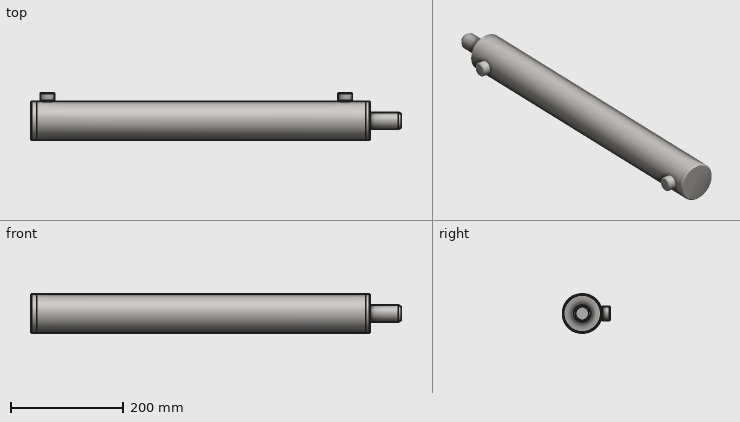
import cadquery as cq

TOTAL_LENGTH = 660.0
BODY_DIAMETER = 70.0
BODY_LENGTH = 604.5
BODY_RADIUS = BODY_DIAMETER / 2

CAP_LENGTH = 10.5
CAP_CHAMFER = 2.3
GLAND_LENGTH = 8.0
GLAND_CHAMFER = 2.0
GLAND_START = BODY_LENGTH - GLAND_LENGTH

ROD_DIAMETER = 30.5
ROD_CHAMFER_LENGTH = 5.0
ROD_CHAMFER_DEPTH = 3.0

PORT_DIAMETER = 26.0
PORT_TOP = 50.0
PORT_CHAMFER_START = 33.5
PORT_BOTTOM_CHAMFER = 2.5
PORT_TOP_CHAMFER = 2.0
PORT_CENTERS = [30.0, 560.0]


def cylinder_x(start, length, diameter):
    """Solid cylinder along X."""
    return cq.Workplane("YZ", origin=(start, 0, 0)).circle(diameter / 2).extrude(length)


def make_cap():
    """Closed end disc with a chamfered outer rim."""
    return cylinder_x(0, CAP_LENGTH, BODY_DIAMETER).faces("<X").chamfer(CAP_CHAMFER)


def make_barrel():
    """Long barrel between the cap and the gland."""
    return cylinder_x(CAP_LENGTH, GLAND_START - CAP_LENGTH, BODY_DIAMETER)


def make_rod():
    """Rod that passes through the gland, with a long tapered tip."""
    radius = ROD_DIAMETER / 2
    return (
        cq.Workplane("XY")
        .moveTo(GLAND_START, 0)
        .lineTo(GLAND_START, radius)
        .lineTo(TOTAL_LENGTH - ROD_CHAMFER_LENGTH, radius)
        .lineTo(TOTAL_LENGTH, radius - ROD_CHAMFER_DEPTH)
        .lineTo(TOTAL_LENGTH, 0)
        .close()
        .revolve(360, (0, 0, 0), (1, 0, 0))
    )


def make_gland():
    """Gland ring with a chamfered outer rim and a hole that fits the rod."""
    disc = cylinder_x(GLAND_START, GLAND_LENGTH, BODY_DIAMETER).faces(">X").chamfer(GLAND_CHAMFER)
    return disc.cut(cylinder_x(GLAND_START, GLAND_LENGTH, ROD_DIAMETER))


def make_port(center_x):
    """Round port boss with chamfered ends, on a narrower foot saddled to the barrel."""
    radius = PORT_DIAMETER / 2
    foot_radius = radius - PORT_BOTTOM_CHAMFER
    boss = (
        cq.Workplane("XY", origin=(center_x, 0, 0))
        .lineTo(foot_radius, 0)
        .lineTo(foot_radius, PORT_CHAMFER_START)
        .lineTo(radius, PORT_CHAMFER_START + PORT_BOTTOM_CHAMFER)
        .lineTo(radius, PORT_TOP - PORT_TOP_CHAMFER)
        .lineTo(radius - PORT_TOP_CHAMFER, PORT_TOP)
        .lineTo(0, PORT_TOP)
        .close()
        .revolve(360, (0, 0, 0), (0, 1, 0))
    )
    return boss.cut(cylinder_x(0, BODY_LENGTH, BODY_DIAMETER))


cap = make_cap()
barrel = make_barrel()
gland = make_gland()
rod = make_rod()
ports = [make_port(center_x) for center_x in PORT_CENTERS]

result = cq.Compound.makeCompound(
    [cap.val(), barrel.val(), gland.val(), rod.val()]
    + [solid for port in ports for solid in port.solids().vals()]
)